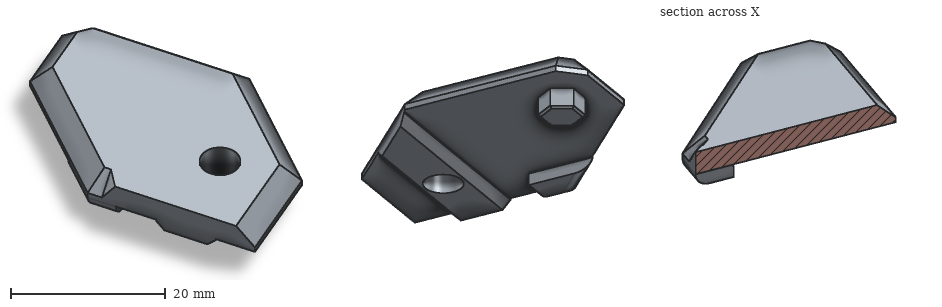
import cadquery as cq
import math

LENGTH = 39.9
WIDTH = 28.6
RIM_HEIGHT = 0.8
BEVEL = 2.7
BEVEL_ANGLE = 45
SLANT_ANGLE = 45
PLATE_HEIGHT = RIM_HEIGHT + BEVEL
FRONT_LEFT_CUT = 15.9
BACK_LEFT_CUT = 3.05
BACK_RIGHT_CUT = 14.5
FRONT_OVERRUN = 2 * BEVEL

FRONT_BEVEL_END = 17.95
FACET_RUN = 1.9

HOLE_DIAMETER = 5.3
HOLE_X = 30.0
HOLE_Y = 10.2
RAIL_WIDTH = 8.55
RAIL_HEIGHT = 1.4
RAIL_CHAMFER = 1.2

PEG_SIDES = 6
PEG_ACROSS_FLATS = 5.3
PEG_X = 6.05
PEG_Y = 21.65
PEG_HEIGHT = 2.8
PEG_CHAMFER = 0.3

LUG_RIGHT = 19.95
LUG_BACK = 5.45
LUG_HEIGHT = 1.95
LUG_CHAMFER = 0.3


def outline(front_y):
    """Plate outline with the front edge placed at front_y; the slanted sides run at 45 degrees."""
    points = [
        (FRONT_LEFT_CUT - front_y, front_y),
        (LENGTH, front_y),
        (LENGTH, WIDTH - BACK_RIGHT_CUT),
        (LENGTH - BACK_RIGHT_CUT, WIDTH),
        (BACK_LEFT_CUT, WIDTH),
        (0, WIDTH - BACK_LEFT_CUT),
        (0, FRONT_LEFT_CUT),
    ]
    return cq.Workplane("XY").polyline(points).close()


def solid_from_faces(points, faces):
    """Closed solid from corner points and lists of corner numbers."""
    shell_faces = []
    for face in faces:
        corners = [cq.Vector(*points[i]) for i in face]
        shell_faces.append(cq.Face.makeFromWires(cq.Wire.makePolygon(corners, close=True)))
    return cq.Workplane(cq.Solid.makeSolid(cq.Shell.makeShell(shell_faces)))


def plate():
    rim = outline(-FRONT_OVERRUN).extrude(RIM_HEIGHT)
    top = outline(-FRONT_OVERRUN).extrude(BEVEL, taper=BEVEL_ANGLE).translate((0, 0, RIM_HEIGHT))
    keep = cq.Workplane("XY").box(LENGTH, WIDTH, PLATE_HEIGHT, centered=False)
    return rim.union(top).intersect(keep)


def front_bevel():
    """Material removed from the front edge: a triangular prism closed by a sloped facet."""
    start = FRONT_LEFT_CUT - BEVEL
    end = FRONT_BEVEL_END
    points = [
        (start, 0, RIM_HEIGHT),
        (start, 0, PLATE_HEIGHT),
        (start, BEVEL, PLATE_HEIGHT),
        (end, 0, RIM_HEIGHT),
        (end, BEVEL, PLATE_HEIGHT),
        (end + FACET_RUN, 0, PLATE_HEIGHT),
    ]
    faces = [(0, 1, 2), (0, 2, 4, 3), (1, 5, 4, 2), (0, 3, 5, 1), (3, 4, 5)]
    return solid_from_faces(points, faces)


def rail():
    """Chamfered rail running front to back and ending flush with the plate outline."""
    half_width = RAIL_WIDTH / 2
    half_bottom = half_width - RAIL_CHAMFER
    shoulder = -(RAIL_HEIGHT - RAIL_CHAMFER)
    profile = [
        (HOLE_X - half_width, 0),
        (HOLE_X - half_width, shoulder),
        (HOLE_X - half_bottom, -RAIL_HEIGHT),
        (HOLE_X + half_bottom, -RAIL_HEIGHT),
        (HOLE_X + half_width, shoulder),
        (HOLE_X + half_width, 0),
    ]
    bar = cq.Workplane("XZ").polyline(profile).close().extrude(-WIDTH)
    return bar.intersect(outline(0).extrude(-RAIL_HEIGHT))


def peg():
    """Six-sided peg with two flats facing along X and a chamfered lower end."""
    half_side_angle = 180 / PEG_SIDES
    across_corners = PEG_ACROSS_FLATS / math.cos(math.radians(half_side_angle))
    hexagon = cq.Workplane("XY").polygon(PEG_SIDES, across_corners).extrude(-PEG_HEIGHT)
    hexagon = hexagon.faces("<Z").chamfer(PEG_CHAMFER)
    return hexagon.rotate((0, 0, 0), (0, 0, 1), half_side_angle).translate((PEG_X, PEG_Y, 0))


def quarter_round_bar():
    """Bar along X whose front lower edge, at Y = 0, is a full quarter round."""
    drop = LUG_HEIGHT * math.sin(math.pi / 4)
    inset = LUG_HEIGHT - drop
    return (
        cq.Workplane("YZ")
        .moveTo(0, 0)
        .threePointArc((inset, -drop), (LUG_HEIGHT, -LUG_HEIGHT))
        .lineTo(LENGTH, -LUG_HEIGHT)
        .lineTo(LENGTH, 0)
        .close()
        .extrude(LENGTH, both=True)
    )


def lug():
    """Corner block, rounded along the front side and the front-left slanted side."""
    undercut = LUG_BACK - LUG_CHAMFER
    side = [(0, 0), (undercut, 0), (LUG_BACK, -LUG_CHAMFER), (LUG_BACK, -LUG_HEIGHT), (0, -LUG_HEIGHT)]
    block = cq.Workplane("YZ").polyline(side).close().extrude(LUG_RIGHT)
    front_round = quarter_round_bar()
    slanted_round = front_round.rotate((0, 0, 0), (0, 0, 1), -SLANT_ANGLE).translate((FRONT_LEFT_CUT, 0, 0))
    return block.intersect(front_round).intersect(slanted_round)


def screw_hole():
    depth = PLATE_HEIGHT + RAIL_HEIGHT
    cylinder = cq.Workplane("XY").circle(HOLE_DIAMETER / 2).extrude(depth)
    return cylinder.translate((HOLE_X, HOLE_Y, -RAIL_HEIGHT))


result = plate().cut(front_bevel())
for feature in (rail(), peg(), lug()):
    result = result.union(feature)
result = result.cut(screw_hole())